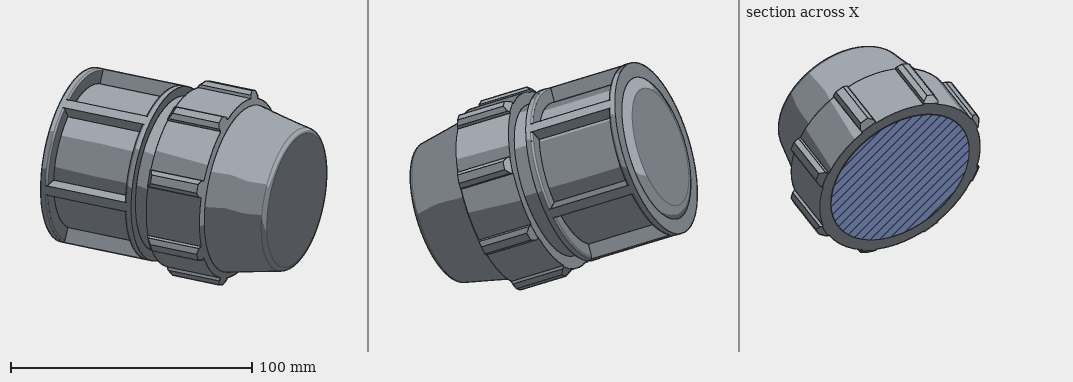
import cadquery as cq
import math

TOTAL_LENGTH = 102.0

CAP_HEIGHT = 2.0
CAP_FACE_RADIUS = 25.3
CORE_RADIUS = 30.6

FLANGE_RADIUS = 73.8 / 2
FLANGE_WIDTH = 3.0
FLANGE_ROUNDING = 0.8
BODY_END_X = 43.7
RIB_COUNT = 6
RIB_WIDTH = 4.2
NECK_RADIUS = 65.6 / 2

NUT_START_X = 51.2
NUT_END_X = 76.6
NUT_RADIUS = 38.0
NUT_BEVEL_LENGTH = 0.9

LUG_COUNT = 8
LUG_TOP_RADIUS = 41.0
LUG_SHOULDER_RADIUS = 39.15
LUG_TOP_HALF_WIDTH = 1.83
LUG_HALF_WIDTH = 3.55
LUG_ROOT_RADIUS = 36.0
LUG_FRONT_BEVEL_LENGTH = 2.2
LUG_FRONT_BEVEL_RADIUS = 38.4

TAPER_START_RADIUS = 35.3
TAPER_END_RADIUS = 30.0
TAPER_END_FILLET = 2.0


def turned_body():
    """Revolve the round profile of the part, without ribs and nut, about X."""
    cap_rise = CORE_RADIUS - CAP_FACE_RADIUS
    dome_radius = (cap_rise**2 + CAP_HEIGHT**2) / (2 * CAP_HEIGHT)
    half_angle = math.atan2(cap_rise, dome_radius - CAP_HEIGHT) / 2
    dome_middle = (
        dome_radius * (1 - math.cos(half_angle)),
        CAP_FACE_RADIUS + dome_radius * math.sin(half_angle),
    )
    window_start_x = CAP_HEIGHT + FLANGE_WIDTH
    window_end_x = BODY_END_X - FLANGE_WIDTH
    rounding_base = FLANGE_RADIUS - FLANGE_ROUNDING

    profile = (
        cq.Workplane("XY")
        .moveTo(0, 0)
        .lineTo(0, CAP_FACE_RADIUS)
        .threePointArc(dome_middle, (CAP_HEIGHT, CORE_RADIUS))
        .lineTo(CAP_HEIGHT, FLANGE_RADIUS)
        .lineTo(window_start_x - FLANGE_ROUNDING, FLANGE_RADIUS)
        .radiusArc((window_start_x, rounding_base), FLANGE_ROUNDING)
        .lineTo(window_start_x, CORE_RADIUS)
        .lineTo(window_end_x, CORE_RADIUS)
        .lineTo(window_end_x, rounding_base)
        .radiusArc((window_end_x + FLANGE_ROUNDING, FLANGE_RADIUS), FLANGE_ROUNDING)
        .lineTo(BODY_END_X, FLANGE_RADIUS)
        .lineTo(BODY_END_X, NECK_RADIUS)
        .lineTo(NUT_END_X, NECK_RADIUS)
        .lineTo(NUT_END_X, TAPER_START_RADIUS)
        .lineTo(TOTAL_LENGTH, TAPER_END_RADIUS)
        .lineTo(TOTAL_LENGTH, 0)
        .close()
    )
    body = profile.revolve(360, (0, 0, 0), (1, 0, 0))
    return body.faces(">X").edges().fillet(TAPER_END_FILLET)


def ribs():
    """Bars across the axis, trimmed to the flange diameter; each bar makes two opposite ribs."""
    start_x = CAP_HEIGHT + FLANGE_WIDTH / 2
    length = BODY_END_X - FLANGE_WIDTH / 2 - start_x
    bars = cq.Workplane("XY")
    for index in range(RIB_COUNT // 2):
        bar = (
            cq.Workplane("XY")
            .box(length, 2 * FLANGE_RADIUS + RIB_WIDTH, RIB_WIDTH, centered=(False, True, True))
            .translate((start_x, 0, 0))
            .rotate((0, 0, 0), (1, 0, 0), index * 360 / RIB_COUNT)
        )
        bars = bars.add(bar)
    envelope = cq.Workplane("YZ").workplane(offset=start_x).circle(FLANGE_RADIUS).extrude(length)
    return envelope.intersect(bars.combine())


def rear_bevel_cone():
    """Cone that bevels the rear end of the nut and of its lugs."""
    nut_length = NUT_END_X - NUT_START_X
    bevel_slope = (NUT_RADIUS - TAPER_START_RADIUS) / NUT_BEVEL_LENGTH
    return (
        cq.Workplane("XY")
        .moveTo(NUT_START_X, 0)
        .lineTo(NUT_START_X, TAPER_START_RADIUS + bevel_slope * nut_length)
        .lineTo(NUT_END_X, TAPER_START_RADIUS)
        .lineTo(NUT_END_X, 0)
        .close()
        .revolve(360, (0, 0, 0), (1, 0, 0))
    )


def lug():
    """One grip lug on the +Z side of the nut, bevelled at its front end."""
    section = (
        cq.Workplane("YZ")
        .workplane(offset=NUT_START_X)
        .moveTo(-LUG_HALF_WIDTH, LUG_ROOT_RADIUS)
        .lineTo(-LUG_HALF_WIDTH, LUG_SHOULDER_RADIUS)
        .lineTo(-LUG_TOP_HALF_WIDTH, LUG_TOP_RADIUS)
        .lineTo(LUG_TOP_HALF_WIDTH, LUG_TOP_RADIUS)
        .lineTo(LUG_HALF_WIDTH, LUG_SHOULDER_RADIUS)
        .lineTo(LUG_HALF_WIDTH, LUG_ROOT_RADIUS)
        .close()
        .extrude(NUT_END_X - NUT_START_X)
    )
    side_outline = (
        cq.Workplane("XZ")
        .moveTo(NUT_START_X, LUG_ROOT_RADIUS)
        .lineTo(NUT_START_X, LUG_FRONT_BEVEL_RADIUS)
        .lineTo(NUT_START_X + LUG_FRONT_BEVEL_LENGTH, LUG_TOP_RADIUS)
        .lineTo(NUT_END_X, LUG_TOP_RADIUS)
        .lineTo(NUT_END_X, LUG_ROOT_RADIUS)
        .close()
        .extrude(LUG_HALF_WIDTH, both=True)
    )
    return section.intersect(side_outline)


def nut():
    """Round nut with evenly spaced lugs, bevelled together at the rear end."""
    lugged_ring = (
        cq.Workplane("YZ").workplane(offset=NUT_START_X).circle(NUT_RADIUS).extrude(NUT_END_X - NUT_START_X)
    )
    lug_pitch = 360 / LUG_COUNT
    for index in range(LUG_COUNT):
        lug_angle = (index + 0.5) * lug_pitch
        lugged_ring = lugged_ring.union(lug().rotate((0, 0, 0), (1, 0, 0), lug_angle))
    return lugged_ring.intersect(rear_bevel_cone())


result = turned_body().union(ribs()).union(nut())